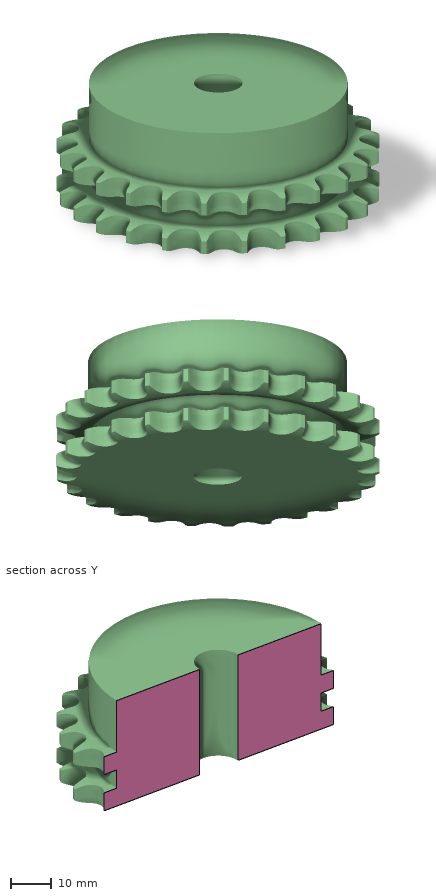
import cadquery as cq
import math

tooth_count = 25
pitch_diameter = 76.0
outer_diameter = 80.0
hub_diameter = 64.0
bore_diameter = 12.0
total_height = 30.0
row_width = 5.2
row_spacing = 10.2
row_count = 2
tip_relief_depth = 0.95

half_pitch_angle = math.pi / tooth_count
chain_pitch = pitch_diameter * math.sin(half_pitch_angle)
roller_diameter = chain_pitch * 2 / 3
pitch_radius = pitch_diameter / 2
outer_radius = outer_diameter / 2

seat_clearance = 1.005
seat_radius = roller_diameter * seat_clearance / 2
working_offset = 0.8 * roller_diameter
working_radius = seat_radius + working_offset
topping_offset = 1.4 * roller_diameter
seat_end_angle = math.radians(35 + 60 / tooth_count)
working_sweep = math.radians(18 - 56 / tooth_count)
topping_angle = math.radians(17 - 64 / tooth_count)
flat_length = topping_offset * math.sin(topping_angle) - working_offset * math.sin(working_sweep)

relief_run = math.sqrt(2 * chain_pitch * tip_relief_depth - tip_relief_depth**2)
relief_start_radius = outer_radius - relief_run


def polar(center, radius, angle):
    """Point at a radius and angle (radians) from a centre."""
    return center[0] + radius * math.cos(angle), center[1] + radius * math.sin(angle)


def mirrored(point):
    """Matching point on the opposite flank of the gap."""
    return -point[0], point[1]


def tooth_gap():
    """Cutter for the gap centred on +Y: roller seat, working arcs, flats and topping arcs."""
    roller_center = (0, pitch_radius)
    root = (0, pitch_radius - seat_radius)

    seat_end = polar(roller_center, seat_radius, -seat_end_angle)
    working_center = polar(roller_center, working_offset, math.pi - seat_end_angle)
    working_end_angle = working_sweep - seat_end_angle
    working_middle = polar(working_center, working_radius, -seat_end_angle + working_sweep / 2)
    working_end = polar(working_center, working_radius, working_end_angle)
    flat_end = polar(working_end, flat_length, working_end_angle + math.pi / 2)

    topping_center = polar(roller_center, topping_offset, -half_pitch_angle)
    topping_radius = math.dist(topping_center, flat_end)
    topping_start_angle = math.atan2(flat_end[1] - topping_center[1], flat_end[0] - topping_center[0])
    topping_end_angle = math.pi - math.asin((outer_radius - topping_center[1]) / topping_radius)
    topping_middle_angle = (topping_start_angle + topping_end_angle) / 2
    topping_middle = polar(topping_center, topping_radius, topping_middle_angle)
    topping_end = polar(topping_center, topping_radius, topping_end_angle)

    gap_top = (0, outer_radius + seat_radius)

    return (
        cq.Workplane("XY")
        .moveTo(*mirrored(topping_end))
        .threePointArc(mirrored(topping_middle), mirrored(flat_end))
        .lineTo(*mirrored(working_end))
        .threePointArc(mirrored(working_middle), mirrored(seat_end))
        .threePointArc(root, seat_end)
        .threePointArc(working_middle, working_end)
        .lineTo(*flat_end)
        .threePointArc(topping_middle, topping_end)
        .lineTo(*gap_top)
        .close()
        .extrude(row_width)
    )


def row_blank():
    """Solid disc whose rim is relieved on both faces by arcs."""
    relief_angle = math.asin(relief_run / chain_pitch)
    lower_arc_center = (relief_start_radius, chain_pitch)
    upper_arc_center = (relief_start_radius, row_width - chain_pitch)
    lower_middle = polar(lower_arc_center, chain_pitch, (relief_angle - math.pi) / 2)
    upper_middle = polar(upper_arc_center, chain_pitch, (math.pi - relief_angle) / 2)

    return (
        cq.Workplane("XZ")
        .lineTo(relief_start_radius, 0)
        .threePointArc(lower_middle, (outer_radius, tip_relief_depth))
        .lineTo(outer_radius, row_width - tip_relief_depth)
        .threePointArc(upper_middle, (relief_start_radius, row_width))
        .lineTo(0, row_width)
        .close()
        .revolve(360, (0, 0, 0), (0, 1, 0))
    )


def toothed_row():
    """One row of teeth, with a gap centred on +Y."""
    row = row_blank()
    gap = tooth_gap()
    for index in range(tooth_count):
        row = row.cut(gap.rotate((0, 0, 0), (0, 0, 1), index * 360 / tooth_count))
    return row


result = cq.Workplane("XY").circle(hub_diameter / 2).extrude(total_height)

tooth_row = toothed_row()
for row_index in range(row_count):
    result = result.union(tooth_row.translate((0, 0, row_index * row_spacing)))

bore = cq.Workplane("XY").circle(bore_diameter / 2).extrude(total_height)
result = result.cut(bore)